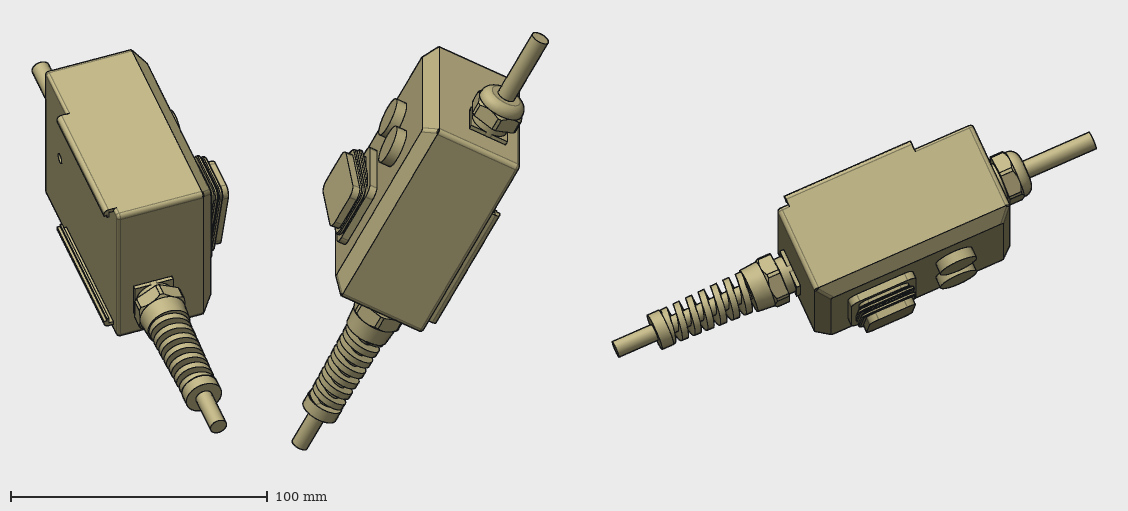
import cadquery as cq

BOX_X = 83.5
BOX_Y = 40.4
BOX_Z = 69.0
SIDE_FILLET = 1.8
FRONT_FILLET = 1.2
REAR_CHAMFER = 4.9

HOLE_X = -24.5
HOLE_Z = 1.6
HOLE_DIAMETER = 4.0
HOLE_DEPTH = 2.0

HOOK_LEFT = -17.0
HOOK_RIGHT = 37.0
HOOK_REACH = 3.9
HOOK_THICKNESS = 1.6
HOOK_BEND = 1.8
HOOK_SHOULDER = 3.0
HOOK_DROP = 4.0
LIP_INNER = 1.8
LIP_OUTER = 2.7
LOWER_HOOK_RAISE = 3.0

AXIS_Y = 14.5
AXIS_Z = -14.5
TOTAL_LENGTH = 204.0
CABLE_LEFT_END = -86.7
CABLE_RIGHT_END = CABLE_LEFT_END + TOTAL_LENGTH
CABLE_LEFT_DIAMETER = 7.1
CABLE_RIGHT_DIAMETER = 6.7
PLATE_Y = 16.0
PLATE_Z = 14.7
PLATE_THICKNESS = 1.6
COLLAR_DIAMETER = 14.9
COLLAR_LENGTH = 5.3
NUT_FLATS = 18.8
NUT_CORNERS = 20.8
NUT_LENGTH = 6.1
NUT_BEVEL = 0.6
CAP_RADIUS = 9.4
DOME_LENGTH = 4.5
DOME_FACE_RADIUS = 6.1

SLEEVE_LENGTH = 7.1
SLEEVE_END_RADIUS = 8.8
COIL_TURNS = 7
COIL_SPAN = 37.7
COIL_WIDTH = 2.7
COIL_START_RADIUS = 8.4
COIL_EMBED = 0.6
COIL_END_RADIUS = 7.0
TIP_RADIUS = 7.3
TIP_LENGTH = 4.9
SPRING_END = 100.5

REAR_OFFSET_X = 15.7
BUTTON_DIAMETER = 15.5
BUTTON_HEIGHT = 4.3
BUTTON_OFFSET_Z = 11.0
FLANGE_X = 27.7
FLANGE_Z = 36.7
FLANGE_HEIGHT = 3.0
CORNER_RADIUS = 3.7
ROCKER_TILT = 7.2
ROCKER_X = 19.5
ROCKER_Z = 30.5
ROCKER_HEIGHT = 10.0
SKIRT_X = 21.2
SKIRT_Z = 32.2
SKIRT_HEIGHT = 2.5
RIB_THICKNESS = 1.6
RIB_BEVEL = 0.5
ROCKER_RIBS = [
    (23.7, 35.0, 3.0),
    (22.8, 33.8, 5.3),
]

NUT_START = BOX_X / 2 + COLLAR_LENGTH
NUT_END = NUT_START + NUT_LENGTH


def make_enclosure():
    box = cq.Workplane("XY").box(BOX_X, BOX_Y, BOX_Z).translate((0, BOX_Y / 2, 0))
    box = box.faces(">Y").chamfer(REAR_CHAMFER)
    box = box.edges("not (|X or |Z)").fillet(SIDE_FILLET)
    box = box.faces("<Y").edges().fillet(FRONT_FILLET)
    hole = (
        cq.Workplane("XZ", origin=(HOLE_X, HOLE_DEPTH, HOLE_Z))
        .circle(HOLE_DIAMETER / 2)
        .extrude(HOLE_DEPTH)
    )
    return box.cut(hole)


def make_hook():
    """Upper hook, its outer side level with Z = 0 and its root sunk into the box."""
    bend_side = HOOK_BEND * (1 - 0.5**0.5)
    return (
        cq.Workplane("YZ", origin=(HOOK_LEFT, 0, 0))
        .moveTo(SIDE_FILLET, 0)
        .lineTo(HOOK_BEND - HOOK_REACH, 0)
        .threePointArc((bend_side - HOOK_REACH, -bend_side), (-HOOK_REACH, -HOOK_BEND))
        .lineTo(-HOOK_REACH, -HOOK_SHOULDER)
        .lineTo(-LIP_OUTER, -HOOK_SHOULDER)
        .lineTo(-LIP_OUTER, -HOOK_DROP)
        .lineTo(-LIP_INNER, -HOOK_DROP)
        .lineTo(-LIP_INNER, -HOOK_THICKNESS)
        .lineTo(SIDE_FILLET, -HOOK_THICKNESS)
        .close()
        .extrude(HOOK_RIGHT - HOOK_LEFT)
    )


def rod(start, end, radius):
    """Cylinder along the X axis."""
    return cq.Workplane("YZ", origin=(start, 0, 0)).circle(radius).extrude(end - start)


def cone(start, end, start_radius, end_radius):
    """Tapered round body along the X axis."""
    profile = [(start, 0), (start, start_radius), (end, end_radius), (end, 0)]
    return cq.Workplane("XY").polyline(profile).close().revolve(360, (0, 0, 0), (1, 0, 0))


def hex_prism(flats, angle):
    corner_diameter = flats / (3**0.5 / 2)
    prism = cq.Workplane("YZ").polygon(6, corner_diameter).extrude(NUT_LENGTH)
    return prism.rotate((0, 0, 0), (1, 0, 0), angle).translate((NUT_START, 0, 0))


def make_gland_base():
    """Seat plate, collar and nut of a gland on the +X side of the box."""
    face = BOX_X / 2
    plate = cq.Workplane("XY").box(PLATE_THICKNESS, PLATE_Y, PLATE_Z)
    plate = plate.translate((face + PLATE_THICKNESS / 2, 0, 0))
    collar = rod(face, NUT_START, COLLAR_DIAMETER / 2)
    nut = hex_prism(NUT_FLATS, 90).intersect(hex_prism(NUT_CORNERS, 0))
    taper_start = NUT_CORNERS / 2 + NUT_LENGTH - NUT_BEVEL
    nut = nut.intersect(cone(NUT_START, NUT_END, taper_start, CAP_RADIUS))
    return plate.union(collar).union(nut)


def make_left_gland():
    """Domed gland with its cable, built on the +X side and mirrored to the -X side."""
    dome_end = NUT_END + DOME_LENGTH
    dome_middle = (
        NUT_END + DOME_LENGTH * 0.5**0.5,
        DOME_FACE_RADIUS + (CAP_RADIUS - DOME_FACE_RADIUS) * 0.5**0.5,
    )
    dome = (
        cq.Workplane("XY")
        .moveTo(NUT_END, 0)
        .lineTo(NUT_END, CAP_RADIUS)
        .threePointArc(dome_middle, (dome_end, DOME_FACE_RADIUS))
        .lineTo(dome_end, 0)
        .close()
        .revolve(360, (0, 0, 0), (1, 0, 0))
    )
    cable = rod(0, -CABLE_LEFT_END, CABLE_LEFT_DIAMETER / 2)
    return cable.union(make_gland_base()).union(dome).mirror("YZ")


def make_coil(start, inner_radius):
    """Left-handed coil around the X axis, starting at its lowest point."""
    depth = COIL_START_RADIUS + COIL_EMBED - inner_radius
    mean_radius = inner_radius + depth / 2
    helix = cq.Wire.makeHelix(COIL_SPAN / COIL_TURNS, COIL_SPAN, mean_radius, lefthand=True)
    coil = (
        cq.Workplane("XZ", origin=(mean_radius, 0, 0))
        .rect(depth, COIL_WIDTH)
        .sweep(cq.Workplane(helix), isFrenet=True)
    )
    return coil.rotate((0, 0, 0), (0, 1, 0), 90).translate((start, 0, 0))


def make_right_gland():
    """Gland with its cable inside a tapering strain-relief spring."""
    sleeve_end = NUT_END + SLEEVE_LENGTH
    tip_start = SPRING_END - TIP_LENGTH
    sleeve = cone(NUT_END, sleeve_end, CAP_RADIUS, SLEEVE_END_RADIUS)
    coil = make_coil(sleeve_end - COIL_EMBED, CABLE_RIGHT_DIAMETER / 2 - COIL_EMBED)
    envelope = cone(sleeve_end - 2 * COIL_WIDTH, SPRING_END, COIL_START_RADIUS, COIL_END_RADIUS)
    coil = coil.intersect(envelope)
    tip = rod(tip_start, SPRING_END, TIP_RADIUS)
    cable = rod(0, CABLE_RIGHT_END, CABLE_RIGHT_DIAMETER / 2)
    return cable.union(make_gland_base()).union(sleeve).union(tip).union(coil)


def rounded_block(size_x, size_z, low, high):
    """Block with rounded corners, standing in +Y on the plane Y = 0."""
    block = cq.Workplane("XY").box(size_x, high - low, size_z)
    return block.edges("|Y").fillet(CORNER_RADIUS).translate((0, (low + high) / 2, 0))


def make_rocker_switch():
    rocker = rounded_block(ROCKER_X, ROCKER_Z, 0, ROCKER_HEIGHT)
    rocker = rocker.union(rounded_block(SKIRT_X, SKIRT_Z, 0, SKIRT_HEIGHT))
    for size_x, size_z, low in ROCKER_RIBS:
        rib = rounded_block(size_x, size_z, low, low + RIB_THICKNESS)
        rocker = rocker.union(rib.faces("<Y or >Y").chamfer(RIB_BEVEL))
    rocker = rocker.rotate((0, 0, 0), (1, 0, 0), -ROCKER_TILT)
    return rocker.union(rounded_block(FLANGE_X, FLANGE_Z, 0, FLANGE_HEIGHT))


def make_button():
    return cq.Workplane("XZ").circle(BUTTON_DIAMETER / 2).extrude(-BUTTON_HEIGHT)


result = make_enclosure()

upper_hook = make_hook().translate((0, 0, BOX_Z / 2))
lower_hook = make_hook().mirror("XY").translate((0, 0, LOWER_HOOK_RAISE - BOX_Z / 2))
result = result.union(upper_hook).union(lower_hook)

result = result.union(make_rocker_switch().translate((REAR_OFFSET_X, BOX_Y, 0)))
for side in (-1, 1):
    result = result.union(make_button().translate((-REAR_OFFSET_X, BOX_Y, side * BUTTON_OFFSET_Z)))

for gland in (make_left_gland(), make_right_gland()):
    result = result.union(gland.translate((0, AXIS_Y, AXIS_Z)))